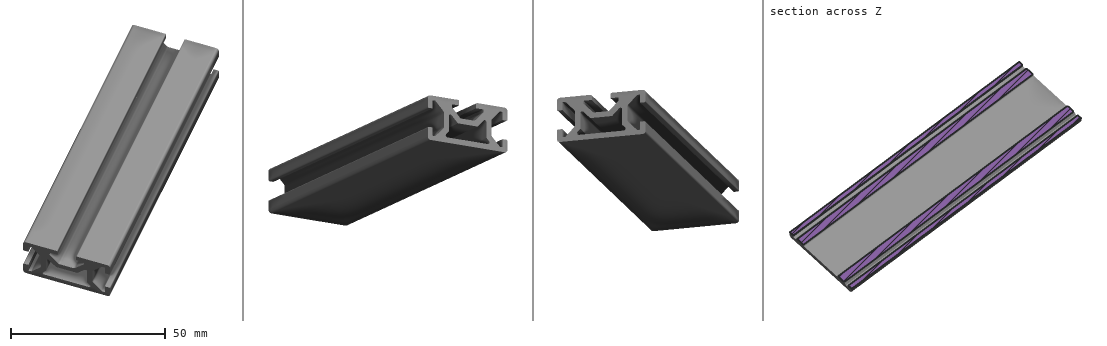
import cadquery as cq
import math

width = 30.0
length = 100.0
height = 15.0

wall = 1.8
slot_opening = 6.4
slot_inner_width = 11.9
slot_depth = 6.1
slot_floor_width = 5.3
slot_floor_radius = 1.0

rib_thickness = 2.0
cavity_radius = 0.6
outer_radius = 1.0
lip_radius = 0.4

flank_start_depth = slot_depth - (slot_inner_width - slot_floor_width) / 2
rib_run = rib_thickness * math.sqrt(2)


def extrude_along_y(points):
    """Bar of the given XZ outline, centred on Y = 0."""
    outline = cq.Workplane("XZ", origin=(0, length / 2, 0)).polyline(points).close()
    return outline.extrude(length)


def round_edges(bar, points, radius):
    """Round the lengthwise edges of a bar that pass through the XZ points."""
    edges = [bar.edges(cq.NearestToPointSelector((x, 0, z))).val() for x, z in points]
    return bar.newObject(edges).fillet(radius)


def mirrored(points):
    """Symmetric outline from its half with X > 0."""
    return points + [(-x, z) for x, z in reversed(points)]


def make_slot():
    """T-slot cutter opening upward, with its mouth at Z = 0."""
    mouth_corner = (slot_opening / 2, 0)
    under_lip = (slot_opening / 2, -wall)
    inner_top = (slot_inner_width / 2, -wall)
    flank_top = (slot_inner_width / 2, -flank_start_depth)
    floor_end = (slot_floor_width / 2, -slot_depth)
    slot = extrude_along_y(mirrored([mouth_corner, under_lip, inner_top, flank_top, floor_end]))
    return round_edges(slot, mirrored([floor_end]), slot_floor_radius)


def make_cavity():
    """Hollow core, bounded by ribs parallel to the slot flanks."""
    half_width = width / 2 - slot_depth - wall
    ceiling = height - slot_depth - wall
    flank_sum = slot_floor_width / 2 + slot_depth
    upper_offset = flank_sum + rib_run - height
    lower_sum = width / 2 + height / 2 - flank_sum - rib_run

    ceiling_end = (upper_offset + ceiling, ceiling)
    peak = (half_width, half_width - upper_offset)
    wall_foot = (half_width, lower_sum - half_width)
    floor_corner = (lower_sum - wall, wall)
    cavity = extrude_along_y(mirrored([ceiling_end, peak, wall_foot, floor_corner]))
    return round_edges(cavity, mirrored([peak, floor_corner]), cavity_radius)


profile = cq.Workplane("XY").box(width, length, height, centered=(True, True, False))
profile = profile.edges("|Y").fillet(outer_radius)

slot_cutter = make_slot()
profile = profile.cut(slot_cutter.translate((0, 0, height)))
for side in (-1, 1):
    side_slot = slot_cutter.rotate((0, 0, 0), (0, 1, 0), side * 90)
    profile = profile.cut(side_slot.translate((side * width / 2, 0, height / 2)))

profile = profile.cut(make_cavity())

top_lips = mirrored([(slot_opening / 2, height)])
lower_lips = mirrored([(width / 2, height / 2 - slot_opening / 2)])
upper_lips = mirrored([(width / 2, height / 2 + slot_opening / 2)])
result = round_edges(profile, top_lips + lower_lips + upper_lips, lip_radius)